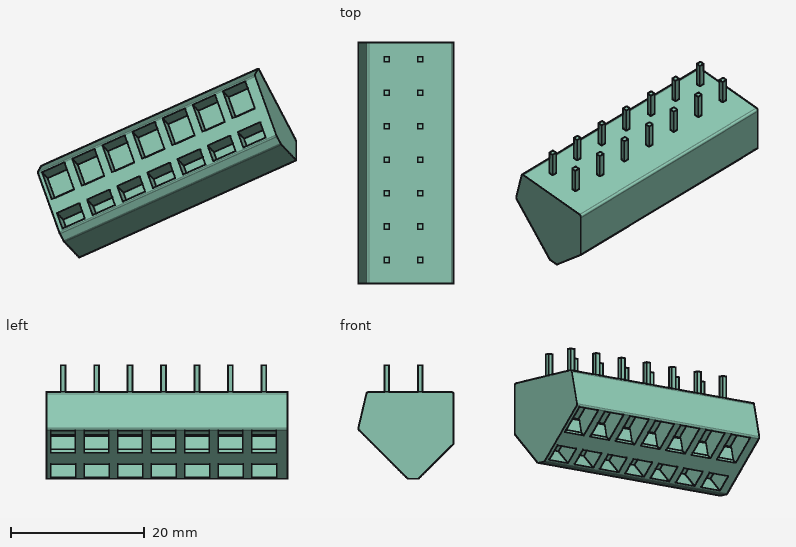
import cadquery as cq

length = 36.0
width = 14.25
body_height = 13.0
lead_in = 1.25
right_side_height = 7.75
nose_right = 8.95
nose_width = 1.55
edge_radius = 0.35

pin_count = 7
pin_row_length = 30.0
row_spacing = 5.0
pin_size_x = 0.72
pin_size_y = 0.75
pin_height = 4.0
first_row_x = 4.25
first_pin_y = 3.53

opening_width = 3.7
wire_offset_y = -0.05

button_mouth_bottom = 3.92
button_mouth_height = 3.3
button_sill = 0.55
button_riser = 1.95
button_riser_lean = 0.45
button_step = 0.2

wire_mouth_bottom = 0.3
wire_mouth_height = 1.9
wire_depth = 2.15

nose_left = nose_right - nose_width
pitch = pin_row_length / (pin_count - 1)
pin_places_y = [first_pin_y + i * pitch for i in range(pin_count)]
pin_rows_x = [first_row_x, first_row_x + row_spacing]

shoulder_x = -0.05


def face_x(z):
    """X of the 45 degree lower left face at height z."""
    return nose_left - z


def face_z(x):
    """Height of the 45 degree lower left face at x."""
    return nose_left - x


def make_housing():
    outline = [
        (nose_left, 0),
        (nose_right, 0),
        (width, body_height - right_side_height),
        (width, body_height),
        (lead_in, body_height),
        (shoulder_x, face_z(shoulder_x)),
    ]
    housing = cq.Workplane("XZ").polyline(outline).close().extrude(-length)
    for side in (">Z", "<Z", "<X"):
        housing = housing.edges("|Y").edges(side).fillet(edge_radius)
    return housing


def make_opening(outline, center_y):
    """Solid to cut: an XZ outline as wide as one opening, centred on center_y."""
    start_y = center_y - opening_width / 2
    return cq.Workplane("XZ", origin=(0, start_y, 0)).polyline(outline).close().extrude(-opening_width)


def button_opening(center_y):
    """Mouth with a sloped sill, a steep riser, a small step and a floor parallel to the face."""
    bottom_z = button_mouth_bottom
    bottom_x = face_x(bottom_z)
    top_z = bottom_z + button_mouth_height
    top_x = face_x(top_z)
    sill_x = bottom_x + button_sill
    sill_z = bottom_z + button_sill
    riser_x = sill_x + button_riser_lean
    riser_z = sill_z + button_riser
    floor_x = riser_x + button_step
    floor_z = riser_z + button_step
    floor_depth = (floor_x - face_x(floor_z)) / 2
    outline = [
        (bottom_x, bottom_z),
        (sill_x, sill_z),
        (riser_x, riser_z),
        (floor_x, floor_z),
        (top_x + floor_depth, top_z + floor_depth),
        (top_x, top_z),
    ]
    return make_opening(outline, center_y)


def wire_opening(center_y):
    """Rectangular blind opening cut square to the face."""
    bottom_z = wire_mouth_bottom
    bottom_x = face_x(bottom_z)
    top_z = bottom_z + wire_mouth_height
    top_x = face_x(top_z)
    outline = [
        (bottom_x, bottom_z),
        (bottom_x + wire_depth, bottom_z + wire_depth),
        (top_x + wire_depth, top_z + wire_depth),
        (top_x, top_z),
    ]
    return make_opening(outline, center_y)


def make_pin(x, y):
    return cq.Workplane("XY", origin=(x, y, body_height)).rect(pin_size_x, pin_size_y).extrude(pin_height)


result = make_housing()
for pin_y in pin_places_y:
    result = result.cut(button_opening(pin_y))
    result = result.cut(wire_opening(pin_y + wire_offset_y))
    for pin_x in pin_rows_x:
        result = result.union(make_pin(pin_x, pin_y))